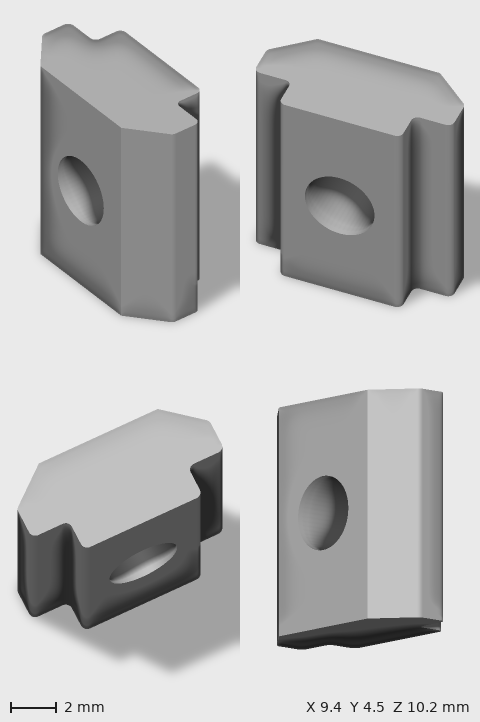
import cadquery as cq

width = 9.4
depth = 4.5
length = 10.2

neck_width = 5.8
neck_height = 1.5
bevel_depth = 1.5
edge_radius = 0.3

hole_diameter = 3.3

half_width = width / 2
half_neck = neck_width / 2
front_y = -depth / 2
back_y = depth / 2
wing_back_y = back_y - neck_height
bevel_y = front_y + bevel_depth


def make_profile_bar():
    """T-shaped section with beveled front corners, extruded along Z."""
    right_side = [
        (half_neck, front_y),
        (half_width, bevel_y),
        (half_width, wing_back_y),
        (half_neck, wing_back_y),
        (half_neck, back_y),
    ]
    left_side = [(-x, y) for x, y in reversed(right_side)]
    bar = cq.Workplane("XY").polyline(right_side + left_side).close().extrude(length)
    return bar.translate((0, 0, -length / 2))


def round_edge_pair(body, x, y):
    """Round the two mirrored lengthwise edges at (+x, y) and (-x, y)."""
    for side in (-1, 1):
        edge = cq.selectors.NearestToPointSelector((side * x, y, 0))
        body = body.edges("|Z").edges(edge).fillet(edge_radius)
    return body


def make_hole():
    """Cylinder running through the full depth along Y."""
    return cq.Workplane("XZ").circle(hole_diameter / 2).extrude(depth, both=True)


result = make_profile_bar()
result = round_edge_pair(result, half_neck, back_y)
result = round_edge_pair(result, half_neck, wing_back_y)
result = round_edge_pair(result, half_width, wing_back_y)
result = round_edge_pair(result, half_width, bevel_y)
result = result.cut(make_hole())